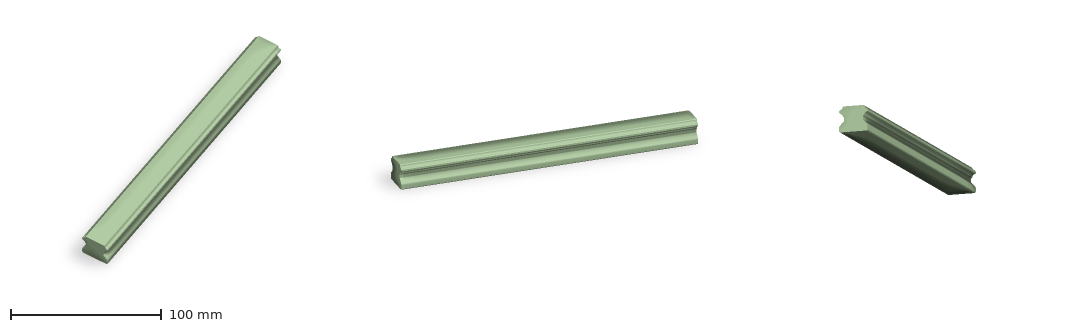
import cadquery as cq
import math

RAIL_LENGTH = 210.0
RAIL_WIDTH = 20.0
RAIL_HEIGHT = 17.5
HALF_WIDTH = RAIL_WIDTH / 2

BASE_CHAMFER = 0.6
SHOULDER_CORNER_HEIGHT = 4.1
SHOULDER_RADIUS = 1.5

NECK_HALF_WIDTH = 6.7
NECK_TOP = 9.9
NECK_RADIUS = 0.6

FLANK_ANGLE = 45
FULL_TURN = 360

GROOVE_RADIUS = 2.1
GROOVE_CENTER_X = 9.75
LOWER_GROOVE_CENTER_Z = 10.8
UPPER_GROOVE_CENTER_Z = 17.2
LAND_CHAMFER = 0.5
TOP_CHAMFER = 0.5

HOLE_COUNT = 4
HOLE_PITCH = 60.0
PLUG_DIAMETER = 9.5
PLUG_DEPTH = 2.0


def groove_point(center_z, angle):
    """Point of a groove circle, at an angle in degrees counted from +X toward +Z."""
    turn = math.radians(angle)
    return (GROOVE_CENTER_X + GROOVE_RADIUS * math.cos(turn), center_z + GROOVE_RADIUS * math.sin(turn))


def groove_arc(center_z, start_angle, end_angle):
    """Start, middle and end points of a groove arc."""
    middle_angle = (start_angle + end_angle) / 2
    return [groove_point(center_z, angle) for angle in (start_angle, middle_angle, end_angle)]


def make_half_rail():
    """The +X half of the rail, cut off at its middle plane."""
    land_edge_x = HALF_WIDTH - LAND_CHAMFER
    land_angle = math.degrees(math.acos((land_edge_x - GROOVE_CENTER_X) / GROOVE_RADIUS))

    flank = math.radians(FLANK_ANGLE)
    neck_x = NECK_HALF_WIDTH - GROOVE_CENTER_X
    neck_z = NECK_TOP - LOWER_GROOVE_CENTER_Z
    flank_distance = neck_z * math.cos(flank) - neck_x * math.sin(flank)
    flank_angle = FLANK_ANGLE + math.degrees(math.pi - math.asin(flank_distance / GROOVE_RADIUS))
    lower_start, lower_middle, lower_end = groove_arc(LOWER_GROOVE_CENTER_Z, flank_angle, land_angle)

    top_edge_z = RAIL_HEIGHT - TOP_CHAMFER
    top_angle = math.degrees(math.pi - math.asin((top_edge_z - UPPER_GROOVE_CENTER_Z) / GROOVE_RADIUS))
    bottom_angle = FULL_TURN - land_angle
    upper_start, upper_middle, upper_end = groove_arc(UPPER_GROOVE_CENTER_Z, bottom_angle, top_angle)

    neck_bottom = SHOULDER_CORNER_HEIGHT + HALF_WIDTH - NECK_HALF_WIDTH
    half_rail = (
        cq.Workplane("XZ", origin=(0, RAIL_LENGTH / 2, 0))
        .moveTo(0, 0)
        .lineTo(HALF_WIDTH - BASE_CHAMFER, 0)
        .lineTo(HALF_WIDTH, BASE_CHAMFER)
        .lineTo(HALF_WIDTH, SHOULDER_CORNER_HEIGHT)
        .lineTo(NECK_HALF_WIDTH, neck_bottom)
        .lineTo(NECK_HALF_WIDTH, NECK_TOP)
        .lineTo(*lower_start)
        .threePointArc(lower_middle, lower_end)
        .lineTo(HALF_WIDTH, lower_end[1] + LAND_CHAMFER)
        .lineTo(HALF_WIDTH, upper_start[1] - LAND_CHAMFER)
        .lineTo(*upper_start)
        .threePointArc(upper_middle, upper_end)
        .lineTo(upper_end[0] - TOP_CHAMFER, RAIL_HEIGHT)
        .lineTo(0, RAIL_HEIGHT)
        .close()
        .extrude(RAIL_LENGTH)
    )
    shoulder_edge = cq.selectors.NearestToPointSelector((HALF_WIDTH, 0, SHOULDER_CORNER_HEIGHT))
    neck_edge = cq.selectors.NearestToPointSelector((NECK_HALF_WIDTH, 0, neck_bottom))
    return half_rail.edges(shoulder_edge).fillet(SHOULDER_RADIUS).edges(neck_edge).fillet(NECK_RADIUS)


def make_plugs():
    top_plane = cq.Workplane("XY", origin=(0, 0, RAIL_HEIGHT))
    first_hole_y = -HOLE_PITCH * (HOLE_COUNT - 1) / 2
    centers = [(0, first_hole_y + index * HOLE_PITCH) for index in range(HOLE_COUNT)]
    return top_plane.pushPoints(centers).circle(PLUG_DIAMETER / 2).extrude(-PLUG_DEPTH)


half_rail = make_half_rail()
rail = half_rail.union(half_rail.mirror("YZ")).clean()
plugs = make_plugs()

result = rail.cut(plugs, clean=False).union(plugs, clean=False).solids()